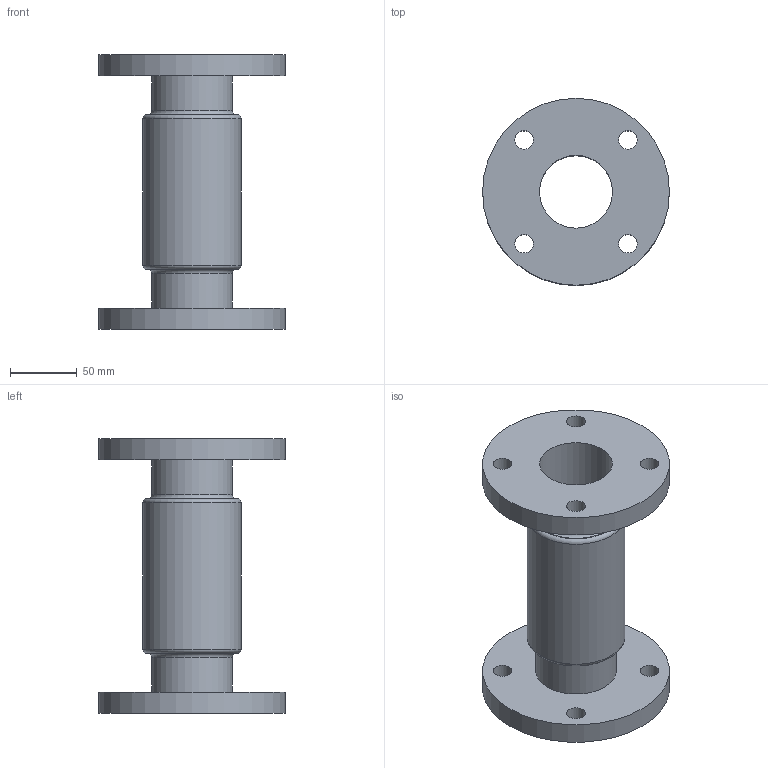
import cadquery as cq

TOTAL_LENGTH = 206.0

FLANGE_DIAMETER = 140.0
FLANGE_THICKNESS = 16.0
BOLT_CIRCLE_DIAMETER = 110.0
BOLT_HOLE_DIAMETER = 14.0
BOLT_COUNT = 4
FIRST_BOLT_ANGLE = 45.0

PIPE_DIAMETER = 60.3
PIPE_WALL = 2.9
BORE_DIAMETER = PIPE_DIAMETER - 2 * PIPE_WALL
SLEEVE_DIAMETER = 73.5
SLEEVE_LENGTH = 116.0
SHOULDER_ROUND = 3.0

HALF_LENGTH = TOTAL_LENGTH / 2
SHOULDER_HEIGHT = SLEEVE_LENGTH / 2


def cylinder(diameter, bottom, length):
    """Upright cylinder about Z, starting at height `bottom`."""
    return cq.Workplane("XY").workplane(offset=bottom).circle(diameter / 2).extrude(length)


def make_core():
    """Pipe and sleeve, with the sleeve's outer edges and its corners at the pipe rounded."""
    pipe = cylinder(PIPE_DIAMETER, -HALF_LENGTH, TOTAL_LENGTH)
    sleeve = cylinder(SLEEVE_DIAMETER, -SHOULDER_HEIGHT, SLEEVE_LENGTH)
    core = pipe.union(sleeve)
    sleeve_end_edges = cq.selectors.BoxSelector(
        (-SLEEVE_DIAMETER, -SLEEVE_DIAMETER, -SHOULDER_HEIGHT - SHOULDER_ROUND),
        (SLEEVE_DIAMETER, SLEEVE_DIAMETER, SHOULDER_HEIGHT + SHOULDER_ROUND),
    )
    return core.edges("%CIRCLE").edges(sleeve_end_edges).fillet(SHOULDER_ROUND)


def make_bolt_holes():
    """Cutters for the bolt holes, passing through both flanges clear of the sleeve."""
    return (
        cq.Workplane("XY")
        .workplane(offset=-HALF_LENGTH)
        .polarArray(BOLT_CIRCLE_DIAMETER / 2, FIRST_BOLT_ANGLE, 360, BOLT_COUNT)
        .circle(BOLT_HOLE_DIAMETER / 2)
        .extrude(TOTAL_LENGTH)
    )


body = make_core()
for flange_bottom in (-HALF_LENGTH, HALF_LENGTH - FLANGE_THICKNESS):
    body = body.union(cylinder(FLANGE_DIAMETER, flange_bottom, FLANGE_THICKNESS))

bore = cylinder(BORE_DIAMETER, -HALF_LENGTH, TOTAL_LENGTH)
result = body.cut(bore).cut(make_bolt_holes())